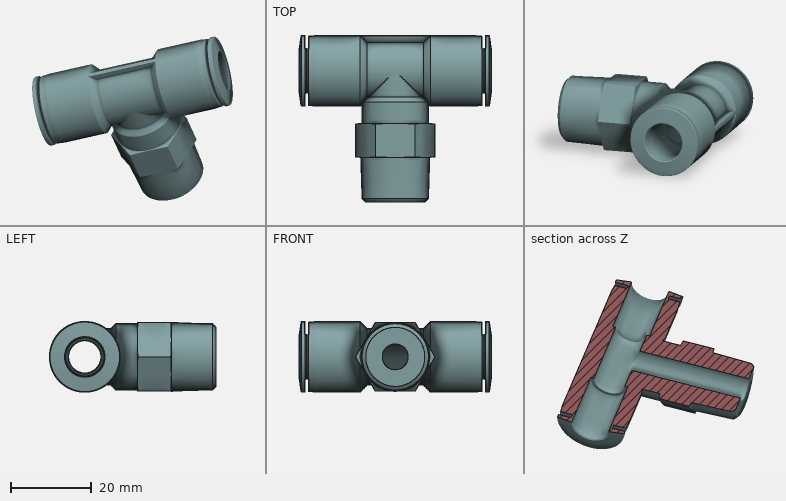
import cadquery as cq
import math

half_length = 23.85
body_diameter = 17.5
body_radius = body_diameter / 2
body_rim_diameter = 17.2
body_rim_radius = body_rim_diameter / 2
neck_radius = 7.0
shoulder_x = 8.75
rim_taper_start_x = 19.65
rim_taper_end_x = 20.7
rim_edge_x = 21.17
rim_face_x = 21.45
rim_edge_chamfer = 0.04

collar_neck_diameter = 10.9
collar_neck_radius = collar_neck_diameter / 2
collar_flare_radius = 5.65
collar_flare_x = 21.95
flange_back_x = 22.35
flange_front_x = 23.2
flange_edge_radius = 8.65
flange_round = 0.15
tube_radius = 4.75
tube_mouth_radius = 5.0
tube_mouth_depth = 0.25
tube_stop_x = shoulder_x
passage_radius = 4.0

overall_depth = 41.25
branch_end = overall_depth - body_radius
branch_sleeve_radius = 8.25
branch_cone_start = 6.5
hex_start = 13.0
hex_end = 21.4
hex_across_flats = 17.03
hex_chamfer_height = 0.15
thread_root_radius = 8.55
thread_taper = 1 / 32
thread_chamfer = 0.9
branch_bore_radius = 3.2

rib_thickness = 1.0


def revolve_run(profile):
    """Revolve a closed (x, radius) profile about the X axis."""
    return cq.Workplane("XY").polyline(profile).close().revolve(360, (0, 0, 0), (1, 0, 0))


def revolve_branch(profile):
    """Revolve a closed (radius, distance) profile about the branch axis, -Y."""
    points = [(radius, -distance) for radius, distance in profile]
    return cq.Workplane("XY").polyline(points).close().revolve(360, (0, 0, 0), (0, 1, 0))


def run_half():
    """Outer shape of the +X half: neck, socket body and release collar."""
    shoulder_start_x = shoulder_x - (body_radius - neck_radius)
    return revolve_run([
        (0, 0),
        (0, neck_radius),
        (shoulder_start_x, neck_radius),
        (shoulder_x, body_radius),
        (rim_taper_start_x, body_radius),
        (rim_taper_end_x, body_rim_radius),
        (rim_edge_x, body_rim_radius),
        (rim_face_x, body_rim_radius - rim_edge_chamfer),
        (rim_face_x, collar_neck_radius),
        (collar_flare_x, collar_neck_radius),
        (flange_back_x, collar_flare_radius),
        (flange_back_x, body_radius),
        (flange_front_x, body_radius),
        (flange_front_x + flange_round, flange_edge_radius),
        (half_length, tube_mouth_radius),
        (half_length, 0),
    ])


def tube_socket():
    """Cutter for the +X tube socket and the passage behind it."""
    return revolve_run([
        (0, 0),
        (0, passage_radius),
        (tube_stop_x, passage_radius),
        (tube_stop_x, tube_radius),
        (half_length - tube_mouth_depth, tube_radius),
        (half_length, tube_mouth_radius),
        (half_length, 0),
    ])


def both_ends(half):
    return half.union(half.mirror("YZ"))


def branch():
    """Neck, sleeve and tapered thread blank of the branch."""
    cone_end = branch_cone_start + branch_sleeve_radius - neck_radius
    thread_chamfer_start = branch_end - thread_chamfer
    thread_end_radius = thread_root_radius - thread_taper * (thread_chamfer_start - hex_end)
    return revolve_branch([
        (0, 0),
        (neck_radius, 0),
        (neck_radius, branch_cone_start),
        (branch_sleeve_radius, cone_end),
        (branch_sleeve_radius, hex_end),
        (thread_root_radius, hex_end),
        (thread_end_radius, thread_chamfer_start),
        (thread_end_radius - thread_chamfer, branch_end),
        (0, branch_end),
    ])


def hexagon():
    """Wrench hexagon with its corners on X, lightly chamfered at both ends."""
    across_corners = hex_across_flats / math.cos(math.pi / 6)
    flat_radius = hex_across_flats / 2
    corner_radius = across_corners / 2
    prism = (
        cq.Workplane("XZ", origin=(0, -hex_start, 0))
        .polygon(6, across_corners)
        .extrude(hex_end - hex_start)
    )
    envelope = revolve_branch([
        (0, hex_start),
        (flat_radius, hex_start),
        (corner_radius, hex_start + hex_chamfer_height),
        (corner_radius, hex_end - hex_chamfer_height),
        (flat_radius, hex_end),
        (0, hex_end),
    ])
    return prism.intersect(envelope)


def back_rib():
    """Rib bridging the two socket bodies behind the neck."""
    plate = cq.Workplane("XY").box(
        2 * shoulder_x, body_radius, rib_thickness, centered=(True, False, True)
    )
    body_outline = cq.Workplane("YZ").circle(body_radius).extrude(shoulder_x, both=True)
    return plate.intersect(body_outline)


branch_bore = cq.Workplane("XZ").circle(branch_bore_radius).extrude(branch_end)

result = (
    both_ends(run_half())
    .union(branch())
    .union(hexagon())
    .union(back_rib())
    .cut(both_ends(tube_socket()))
    .cut(branch_bore)
)